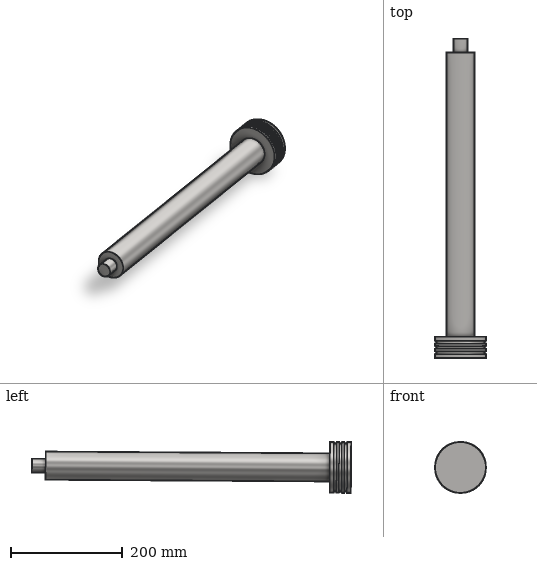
import cadquery as cq
import math

overall_length = 572.0
head_diameter = 91.5
head_length = 38.5
rod_diameter = 51.0
pin_diameter = 25.0
pin_length = 24.5
tilt_degrees = 0.35

groove_count = 3
groove_width = 5.0
groove_land = 4.3
groove_pitch = groove_width + groove_land
groove_radius = groove_width / 2

tilt = math.radians(tilt_degrees)
end_face_lean = (head_diameter + pin_diameter) / 2 * math.sin(tilt)
axis_length = (overall_length - end_face_lean) / math.cos(tilt)
rod_length = axis_length - head_length - pin_length


def cylinder_along_y(start, length, diameter):
    """Solid cylinder on the Y axis, from start toward +Y."""
    plane = cq.Workplane("XZ", origin=(0, start, 0))
    return plane.circle(diameter / 2).extrude(-length)


def ring_groove(center):
    """Torus centred on the rim of the head, leaving a half-round groove."""
    torus = cq.Solid.makeTorus(
        head_diameter / 2, groove_radius, cq.Vector(0, center, 0), cq.Vector(0, 1, 0)
    )
    return cq.Workplane(torus)


head = cylinder_along_y(0, head_length, head_diameter)
for index in range(groove_count):
    offset_from_middle = (index - (groove_count - 1) / 2) * groove_pitch
    head = head.cut(ring_groove(head_length / 2 + offset_from_middle))

rod = cylinder_along_y(head_length, rod_length, rod_diameter)
pin = cylinder_along_y(head_length + rod_length, pin_length, pin_diameter)

straight_piston = head.union(rod).union(pin)
result = straight_piston.rotate((0, 0, 0), (1, 0, 0), tilt_degrees)